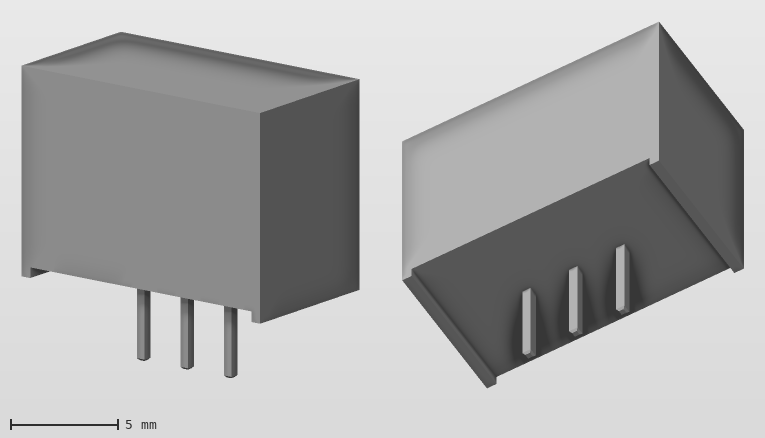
import cadquery as cq

case_length = 13.96
case_width = 7.62
total_height = 14.22
case_height = 10.15
foot_length = 0.51
foot_height = 0.51

pin_count = 3
pin_pitch = 2.55
pin_side = 0.45
pin_offset_y = -0.25
pin_tip_chamfer = 0.1

pin_tip_z = case_height - total_height
pin_length = foot_height - pin_tip_z


def make_case():
    """Block with a full-width recess below that leaves a foot at each end."""
    block = cq.Workplane("XY").box(case_length, case_width, case_height, centered=(True, True, False))
    recess = cq.Workplane("XY").box(
        case_length - 2 * foot_length, case_width, foot_height, centered=(True, True, False)
    )
    return block.cut(recess)


def make_pin(x):
    """Square pin with a chamfered tip, reaching up to the recessed underside."""
    return (
        cq.Workplane("XY")
        .box(pin_side, pin_side, pin_length, centered=(True, True, False))
        .faces("<Z")
        .chamfer(pin_tip_chamfer)
        .translate((x, pin_offset_y, pin_tip_z))
    )


result = make_case()
for index in range(pin_count):
    pin_x = (index - (pin_count - 1) / 2) * pin_pitch
    result = result.union(make_pin(pin_x))